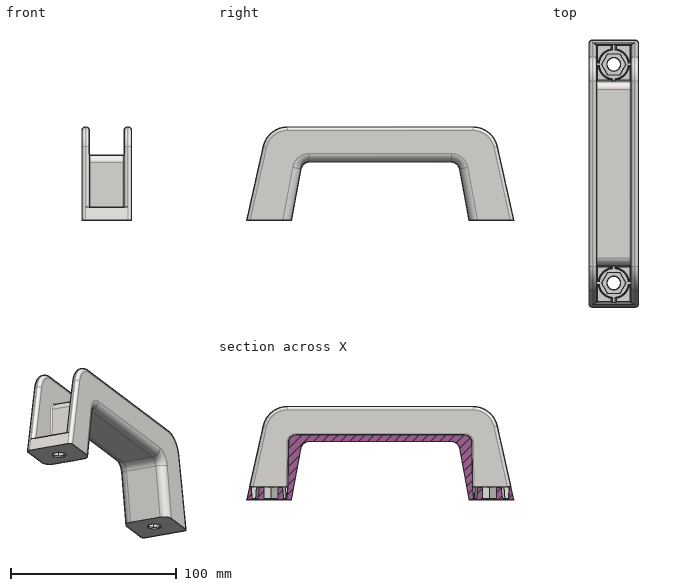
import cadquery as cq
import math

LENGTH = 161.3
WIDTH = 30.0
HEIGHT = 56.5
OUTER_LEAN = 12.6
OUTER_BEND = 15.2
RIM_ROUND = 2.1

OPENING_FOOT = 107.1
OPENING_HEIGHT = 35.2
OPENING_LEAN = 10.5
OPENING_BEND = 5.0
GRIP_ROUND = 5.2

PLATE_THICKNESS = 4.5
DECK_HEIGHT = 39.4
DECK_HALF_LENGTH = 55.3
DECK_BEND = 4.5
DECK_DRAFT = 1.0
CHANNEL_FILLET = 0.8

FOOT_HEIGHT = 8.0
FLOOR = 1.0
END_WALL = 1.0
POCKET_DRAFT = 5.0

BOSS_Y = 66.0
BOSS_TOP = 7.7
BOSS_RADIUS = 9.4
BOSS_DRAFT = 5.0
RIB_FOOT = 3.2
RIB_DRAFT = 7.0
NUT_FLATS = 12.7
HOLE_DIAMETER = 8.0

MARGIN = 1.6


def run(height, degrees):
    """Horizontal offset of a face leaning by the given angle over a height."""
    return height * math.tan(math.radians(degrees))


channel_width = WIDTH - 2 * PLATE_THICKNESS
deck_foot_half = DECK_HALF_LENGTH + run(OPENING_HEIGHT - FOOT_HEIGHT, DECK_DRAFT)
boss_height = BOSS_TOP - FLOOR


def central_zone(half_length, bottom, top):
    """Selector for edges of the middle stretch, over the full width."""
    return cq.selectors.BoxSelector((-WIDTH, -half_length, bottom), (WIDTH, half_length, top))


def arch(foot_half, bottom, top, lean, bend, width):
    """Trapezoid in YZ with rounded top corners, extruded symmetrically along X."""
    top_half = foot_half - run(top - bottom, lean)
    return (
        cq.Workplane("YZ")
        .polyline([(-foot_half, bottom), (foot_half, bottom), (top_half, top), (-top_half, top)])
        .close()
        .extrude(width / 2, both=True)
        .edges("|X and >Z")
        .fillet(bend)
    )


def rounded_handle():
    """Solid arch with rounded outer rims and a rounded hand opening."""
    block = arch(LENGTH / 2, 0, HEIGHT, OUTER_LEAN, OUTER_BEND, WIDTH)
    block = block.faces("<X or >X").edges("not <Z").fillet(RIM_ROUND)
    opening = arch(OPENING_FOOT / 2, 0, OPENING_HEIGHT, OPENING_LEAN, OPENING_BEND, 2 * WIDTH)
    handle = block.cut(opening)
    around_opening = central_zone(OPENING_FOOT / 2, 0, OPENING_HEIGHT + MARGIN)
    return handle.faces("<X or >X").edges(around_opening).fillet(GRIP_ROUND)


def channel():
    """Space above the feet and the deck, open at the top and both ends."""
    space = cq.Workplane("XY", origin=(0, 0, FOOT_HEIGHT)).box(
        channel_width, 2 * LENGTH, HEIGHT, centered=(True, True, False)
    )
    deck = arch(deck_foot_half, FOOT_HEIGHT, DECK_HEIGHT, DECK_DRAFT, DECK_BEND, WIDTH)
    space = space.cut(deck)
    around_deck = central_zone(deck_foot_half, FOOT_HEIGHT + MARGIN, DECK_HEIGHT + MARGIN)
    return space.faces("<X or >X").edges(around_deck).fillet(CHANNEL_FILLET)


def round_inner_rims(handle):
    """Round the rims of the plates on the channel side, above the feet."""
    around_deck = central_zone(deck_foot_half + MARGIN, 0, DECK_HEIGHT + MARGIN)
    slack = CHANNEL_FILLET / 2
    for side in (-channel_width / 2, channel_width / 2):
        plate_edges = cq.selectors.BoxSelector(
            (side - slack, -LENGTH, FOOT_HEIGHT + MARGIN),
            (side + slack, LENGTH, HEIGHT + MARGIN),
        )
        rim = cq.selectors.SubtractSelector(plate_edges, around_deck)
        handle = handle.edges(rim).fillet(RIM_ROUND)
    return handle


def foot_pocket():
    """Drafted pocket in the +Y foot with its floor left closed."""
    outer_end = LENGTH / 2 - run(FOOT_HEIGHT, OUTER_LEAN) - END_WALL
    middle = (outer_end + deck_foot_half) / 2
    return (
        cq.Workplane("XY", origin=(0, middle, FOOT_HEIGHT))
        .rect(channel_width, outer_end - deck_foot_half)
        .extrude(FLOOR - FOOT_HEIGHT, taper=POCKET_DRAFT)
    )


def screw_boss(pocket):
    """Drafted boss with four ribs, limited to the pocket space."""
    base = cq.Workplane("XY", origin=(0, BOSS_Y, FLOOR))
    boss = base.circle(BOSS_RADIUS).extrude(boss_height, taper=BOSS_DRAFT)
    rib_span = 2 * WIDTH
    for size_x, size_y in ((rib_span, RIB_FOOT), (RIB_FOOT, rib_span)):
        boss = boss.union(base.rect(size_x, size_y).extrude(boss_height, taper=RIB_DRAFT))
    return boss.intersect(pocket)


def fastener_space():
    """Hexagonal nut recess with a screw hole through the floor."""
    nut_corners = NUT_FLATS / math.cos(math.pi / 6)
    base = cq.Workplane("XY", origin=(0, BOSS_Y, FLOOR))
    nut = base.polygon(6, nut_corners).extrude(boss_height)
    hole = base.circle(HOLE_DIAMETER / 2).extrude(-FLOOR)
    return nut.union(hole)


pocket = foot_pocket()
foot_cut = pocket.cut(screw_boss(pocket)).union(fastener_space())

result = round_inner_rims(rounded_handle().cut(channel()))
result = result.cut(foot_cut).cut(foot_cut.mirror("XZ"))